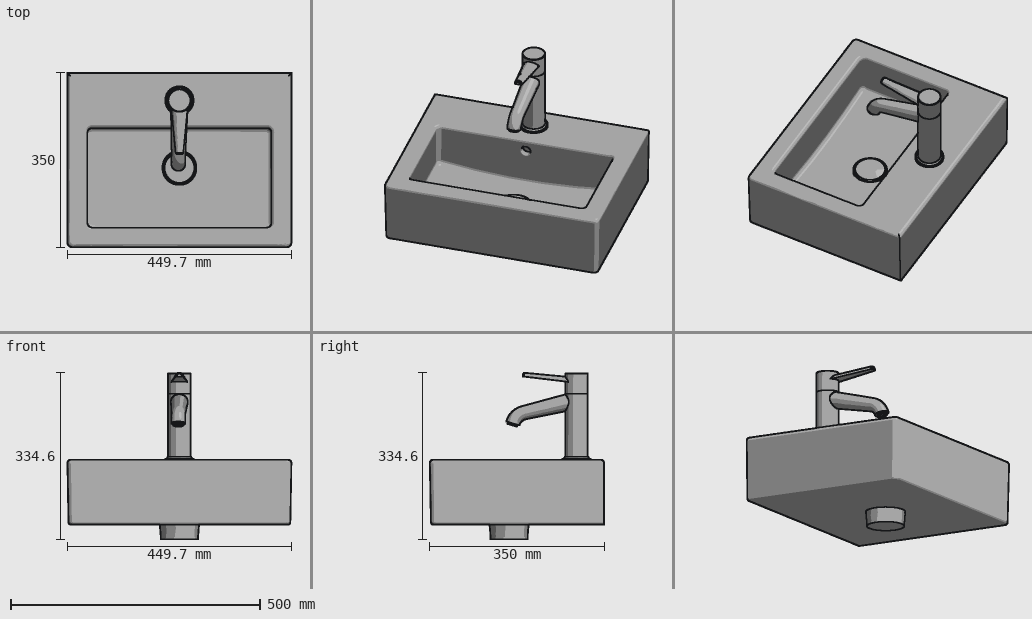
import cadquery as cq
import math


basin_width = 449.7
basin_length = 350.0
basin_height = 130.5
draft_inset = 2.2
front_corner_radius = 10.0
deck_edge_radius = 7.0
bottom_edge_radius = 5.5

bowl_width = 369.2
bowl_length = 199.5
bowl_back_y = -110.5
bowl_corner_radius = 10.0
bowl_rim_radius = 7.5
bowl_floor_radius = 9.0
bowl_end_depth = 90.0
bowl_sag = 13.5

drain_y = -190.5
boss_top_diameter = 79.0
boss_bottom_diameter = 75.0
boss_height = 29.5
boss_collar_height = 5.0
plug_seat_diameter = 68.5
plug_seat_depth = 4.5
plug_rim_diameter = 65.0
plug_top_diameter = 60.0
plug_rim_rise = 0.5
plug_bevel_height = 2.2
plug_dome_height = 3.5

overflow_diameter = 20.0
overflow_z = -27.0
overflow_depth = 13.5
overflow_edge_radius = 2.0

pick_margin = 0.5

tap_y = -55.5
tap_diameter = 46.0
flange_diameter = 57.0
flange_top_diameter = 52.0
flange_rim_height = 2.2
flange_height = 6.5
cap_bottom_z = 132.5
cap_top_z = 173.0
cap_top_diameter = 44.0

lever_tilt = 6.8
lever_root_z = 154.0
lever_reach = 108.0
lever_root_width = 35.5
lever_root_height = 11.0
lever_tip_width = 15.0
lever_tip_height = 8.0
lever_tip_chamfer = 2.2

spout_swivel = -1.0
spout_root_z = 119.0
spout_slope = 13.3
spout_root_diameter = 35.0
spout_tip_diameter = 28.0
spout_tube_length = 108.0
elbow_radius = 31.5
elbow_angle = 60.0

aerator_diameter = 20.0
aerator_bore_diameter = 16.0
aerator_height = 4.0
aerator_bore_depth = 2.2

deck_overhang = draft_inset * deck_edge_radius / (basin_height - deck_edge_radius)
bowl_floor_z = -bowl_end_depth - bowl_sag

slope = math.radians(spout_slope)
elbow_end_turn = spout_slope + elbow_angle
elbow_end = math.radians(elbow_end_turn)
elbow_start_reach = spout_tube_length * math.cos(slope)
elbow_start_drop = spout_tube_length * math.sin(slope)
elbow_end_reach = elbow_start_reach + elbow_radius * (math.sin(elbow_end) - math.sin(slope))
elbow_end_drop = elbow_start_drop + elbow_radius * (math.cos(slope) - math.cos(elbow_end))


def on_tap_axis(z):
    return cq.Workplane("XY", origin=(0, tap_y, z))


def basin_block():
    bottom = cq.Workplane("XY", origin=(0, 0, -basin_height))
    block = (
        bottom.center(0, -(basin_length - draft_inset) / 2)
        .rect(basin_width - 2 * draft_inset, basin_length - draft_inset)
        .workplane(offset=basin_height)
        .center(0, -(draft_inset + deck_overhang) / 2)
        .rect(basin_width + 2 * deck_overhang, basin_length + deck_overhang)
        .loft(ruled=True)
    )
    block = block.faces("<Y").edges("<X or >X").fillet(front_corner_radius)
    block = block.faces(">Z").edges().fillet(deck_edge_radius)
    return block.faces("<Z").edges("not >Y").fillet(bottom_edge_radius)


def bowl_cutter():
    half = bowl_width / 2
    bowl = (
        cq.Workplane("XZ", origin=(0, bowl_back_y, 0))
        .moveTo(-half, 0)
        .lineTo(-half, -bowl_end_depth)
        .threePointArc((0, bowl_floor_z), (half, -bowl_end_depth))
        .lineTo(half, 0)
        .close()
        .extrude(bowl_length)
    )
    bowl = bowl.edges("|Z").fillet(bowl_corner_radius)
    return bowl.faces("<Z").edges().fillet(bowl_floor_radius)


def drain_boss():
    cone_height = boss_height - boss_collar_height
    cone = (
        cq.Workplane("XY", origin=(0, drain_y, -basin_height))
        .circle(boss_top_diameter / 2)
        .workplane(offset=-cone_height)
        .circle(boss_bottom_diameter / 2)
        .loft()
    )
    return cone.faces("<Z").workplane().circle(boss_bottom_diameter / 2).extrude(boss_collar_height)


def edges_near(x, y, z, size_x, size_y, size_z):
    """Selects the edges that lie whole inside a box about (x, y, z), slightly enlarged."""
    half = cq.Vector(size_x, size_y, size_z) * 0.5 + cq.Vector(1, 1, 1) * pick_margin
    centre = cq.Vector(x, y, z)
    return cq.selectors.BoxSelector((centre - half).toTuple(), (centre + half).toTuple(), True)


def make_basin():
    basin = basin_block().cut(bowl_cutter())
    basin = basin.edges(edges_near(0, bowl_back_y - bowl_length / 2, 0, bowl_width, bowl_length, 0))
    basin = basin.fillet(bowl_rim_radius)
    overflow = (
        cq.Workplane("XZ", origin=(0, bowl_back_y, overflow_z))
        .circle(overflow_diameter / 2)
        .extrude(-overflow_depth)
    )
    basin = basin.cut(overflow)
    basin = basin.edges(edges_near(0, bowl_back_y, overflow_z, overflow_diameter, 0, overflow_diameter))
    basin = basin.fillet(overflow_edge_radius)
    seat = (
        cq.Workplane("XY", origin=(0, drain_y, bowl_floor_z - plug_seat_depth))
        .circle(plug_seat_diameter / 2)
        .extrude(plug_seat_depth - bowl_floor_z)
    )
    return basin.union(drain_boss()).cut(seat)


def make_plug():
    rim_z = plug_seat_depth + plug_rim_rise
    bevel_z = rim_z + plug_bevel_height
    top_radius = plug_top_diameter / 2
    dome_radius = (top_radius**2 + plug_dome_height**2) / (2 * plug_dome_height)
    return (
        cq.Workplane("XZ", origin=(0, drain_y, bowl_floor_z - plug_seat_depth))
        .lineTo(plug_rim_diameter / 2, 0)
        .lineTo(plug_rim_diameter / 2, rim_z)
        .lineTo(top_radius, bevel_z)
        .radiusArc((0, bevel_z + plug_dome_height), -dome_radius)
        .close()
        .revolve(360, (0, 0, 0), (0, 1, 0))
    )


def make_flange():
    rim = on_tap_axis(0).circle(flange_diameter / 2).extrude(flange_rim_height)
    cone = (
        on_tap_axis(flange_rim_height)
        .circle(flange_top_diameter / 2)
        .workplane(offset=flange_height - flange_rim_height)
        .circle(tap_diameter / 2)
        .loft()
    )
    return rim.union(cone)


def make_column():
    return on_tap_axis(flange_height).circle(tap_diameter / 2).extrude(cap_bottom_z - flange_height)


def make_cap():
    cap = on_tap_axis(cap_bottom_z).circle(tap_diameter / 2).extrude(cap_top_z - cap_bottom_z)
    return cap.faces(">Z").edges().chamfer((tap_diameter - cap_top_diameter) / 2)


def arched_section(plane, width, height):
    return (
        cq.Workplane(plane)
        .moveTo(-width / 2, 0)
        .lineTo(width / 2, 0)
        .threePointArc((0, height), (-width / 2, 0))
        .close()
        .wires()
        .val()
    )


def make_lever(cap):
    tilt = math.radians(lever_tilt)
    along = cq.Vector(0, -math.cos(tilt), math.sin(tilt))
    root = cq.Vector(0, tap_y, lever_root_z)
    root_plane = cq.Plane(root, (1, 0, 0), along)
    tip_plane = cq.Plane(root + along * (lever_reach / math.cos(tilt)), (1, 0, 0), along)
    lever = cq.Solid.makeLoft(
        [
            arched_section(root_plane, lever_root_width, lever_root_height),
            arched_section(tip_plane, lever_tip_width, lever_tip_height),
        ],
        True,
    )
    tip_arch = cq.Workplane(lever).faces("<Y").edges(">Z")
    return tip_arch.chamfer(lever_tip_chamfer).cut(cap)


def spout_plane(turn, reach, drop):
    """Cross-section plane of the spout, heading `turn` degrees below level."""
    heading = math.radians(turn)
    normal = (0, -math.cos(heading), -math.sin(heading))
    return cq.Plane((0, tap_y - reach, spout_root_z - drop), (1, 0, 0), normal)


def swivelled(body):
    return body.rotate((0, tap_y, 0), (0, tap_y, 1), spout_swivel)


outlet_plane = spout_plane(elbow_end_turn, elbow_end_reach, elbow_end_drop)


def make_spout(column, cap):
    tube = (
        cq.Workplane(spout_plane(spout_slope, 0, 0))
        .circle(spout_root_diameter / 2)
        .workplane(offset=spout_tube_length)
        .circle(spout_tip_diameter / 2)
        .loft()
    )
    elbow = (
        cq.Workplane(spout_plane(spout_slope, elbow_start_reach, elbow_start_drop))
        .circle(spout_tip_diameter / 2)
        .revolve(elbow_angle, (0, -elbow_radius, 0), (1, -elbow_radius, 0))
    )
    return swivelled(tube.union(elbow)).cut(column).cut(cap)


def make_aerator():
    ring = cq.Workplane(outlet_plane).circle(aerator_diameter / 2).extrude(aerator_height)
    ring = ring.faces(cq.selectors.DirectionMinMaxSelector(outlet_plane.zDir)).workplane()
    return swivelled(ring.hole(aerator_bore_diameter, aerator_bore_depth))


basin = make_basin()
plug = make_plug()
flange = make_flange()
column = make_column()
cap = make_cap()
lever = make_lever(cap)
spout = make_spout(column, cap)
aerator = make_aerator()

bodies = (basin, plug, flange, column, cap, lever, spout, aerator)
result = cq.Compound.makeCompound([body.solids().val() for body in bodies])